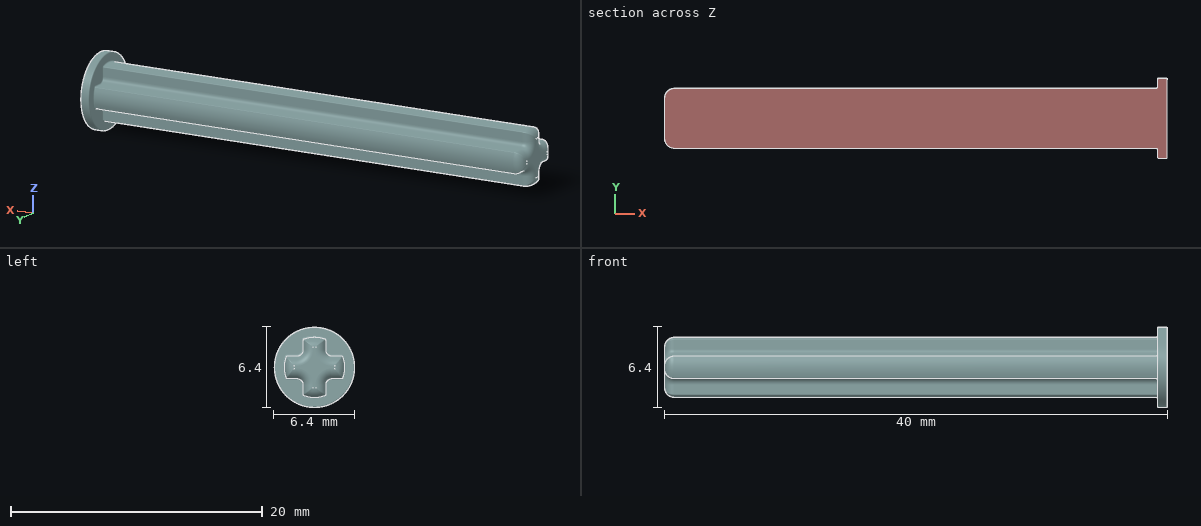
import cadquery as cq

total_length = 40.0
head_diameter = 6.4
head_thickness = 0.8

shaft_diameter = 4.8
arm_width = 1.8
inner_corner_center = 1.4
tip_round_radius = 0.8

edge_radius = 0.1

shaft_length = total_length - head_thickness
shaft_start = -total_length / 2
head_start = shaft_start + shaft_length
inner_corner_radius = inner_corner_center - arm_width / 2


def along_x(x_start):
    """Workplane square to X, placed at x_start."""
    return cq.Workplane("YZ", origin=(x_start, 0, 0))


def box_around_axis(x_start, x_end, half_width):
    """Selector for edges whose centre lies in a square box around the X axis."""
    return cq.selectors.BoxSelector(
        (x_start, -half_width, -half_width),
        (x_end, half_width, half_width),
    )


def make_shaft():
    """Four arms with round outer ends, filleted inner corners and a rounded tip."""
    cross = along_x(shaft_start).rect(shaft_diameter, arm_width).extrude(shaft_length)
    cross = cross.union(along_x(shaft_start).rect(arm_width, shaft_diameter).extrude(shaft_length))

    limit = inner_corner_center + edge_radius
    near_axis = box_around_axis(-total_length, total_length, limit)
    cross = cross.edges("|X").edges(near_axis).fillet(inner_corner_radius)

    envelope = along_x(shaft_start).circle(shaft_diameter / 2).extrude(shaft_length)
    rounded = cross.intersect(envelope).faces("<X").edges().fillet(tip_round_radius)

    arm_corners = cq.selectors.SubtractSelector(
        cq.selectors.ParallelDirSelector(cq.Vector(1, 0, 0)), near_axis
    )
    return rounded.edges(arm_corners).fillet(edge_radius)


def make_head():
    """Flat round head."""
    return along_x(head_start).circle(head_diameter / 2).extrude(head_thickness).edges().fillet(edge_radius)


def join(shaft, head):
    """Fuse shaft and head with a fillet around the base of the shaft."""
    pin = shaft.union(head)
    x_start = head_start - edge_radius
    x_end = head_start + edge_radius

    at_joint = box_around_axis(x_start, x_end, shaft_diameter / 2 + edge_radius)
    on_axis = box_around_axis(x_start, x_end, edge_radius)
    base_edges = cq.selectors.SubtractSelector(at_joint, on_axis)
    return pin.edges("#X").edges(base_edges).fillet(edge_radius)


result = join(make_shaft(), make_head())